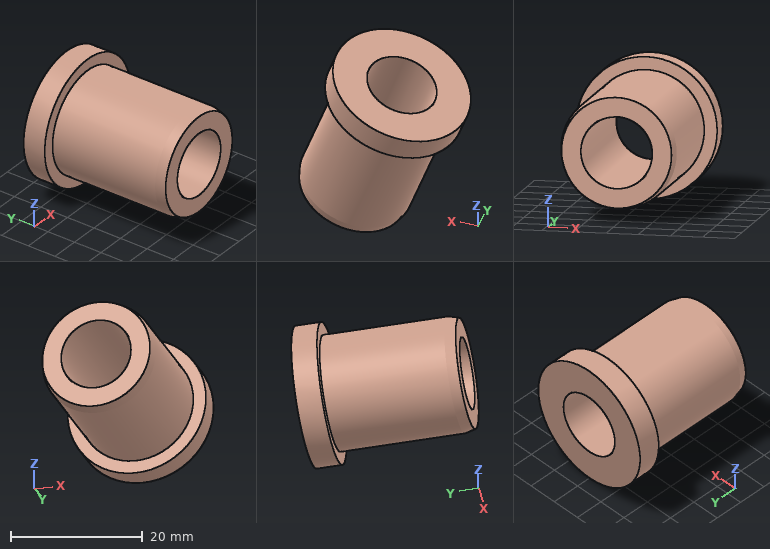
import cadquery as cq
import math

total_length = 25.0
flange_diameter = 22.0
flange_thickness = 4.0
body_diameter = 18.0
bore_diameter = 11.1

lead_length = 1.65
lead_angle = math.radians(15)
lead_depth = lead_length * math.tan(lead_angle)

bore_radius = bore_diameter / 2
body_radius = body_diameter / 2
flange_radius = flange_diameter / 2
flange_start = total_length - flange_thickness

half_section = (
    cq.Workplane("XY")
    .moveTo(bore_radius, 0)
    .lineTo(body_radius - lead_depth, 0)
    .lineTo(body_radius, lead_length)
    .lineTo(body_radius, flange_start)
    .lineTo(flange_radius, flange_start)
    .lineTo(flange_radius, total_length)
    .lineTo(bore_radius, total_length)
    .close()
)

result = half_section.revolve(360, (0, 0, 0), (0, 1, 0))